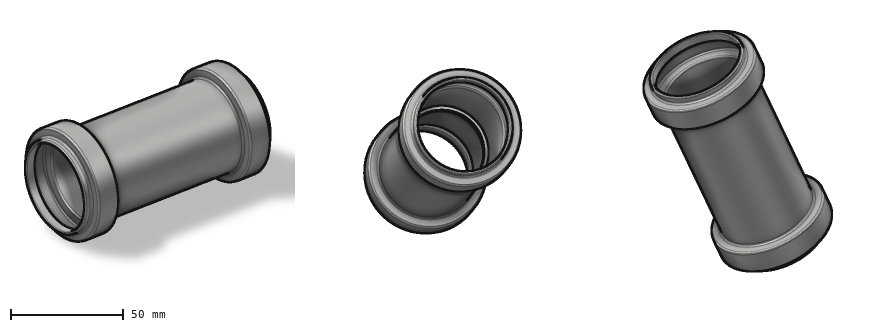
import cadquery as cq

length = 104.0
stop_diameter = 37.0
socket_diameter = 40.8
mouth_diameter = 41.2
tube_diameter = 44.0
lip_diameter = 44.4
groove_diameter = 50.3
collar_diameter = 53.5
wall = (collar_diameter - groove_diameter) / 2
stop_width = 2 * wall

outer_face_at_lip = 3.4
outer_face_at_rim = 3.8
inner_face_at_tube = 15.5
inner_face_at_rim = 15.1

rim_round = 0.9
root_round = 1.0
lip_round = 0.6
mouth_round = 0.4
groove_root_round = 0.8
groove_edge_round = 0.9

outer_corners = [
    (lip_diameter / 2, 0, lip_round),
    (lip_diameter / 2, outer_face_at_lip, root_round),
    (collar_diameter / 2, outer_face_at_rim, rim_round),
    (collar_diameter / 2, inner_face_at_rim, rim_round),
    (tube_diameter / 2, inner_face_at_tube, root_round),
]
inner_corners = [
    (mouth_diameter / 2, 0, mouth_round),
    (mouth_diameter / 2, outer_face_at_lip + wall, groove_edge_round),
    (groove_diameter / 2, outer_face_at_rim + wall, groove_root_round),
    (groove_diameter / 2, inner_face_at_rim - wall, groove_root_round),
    (socket_diameter / 2, inner_face_at_tube - wall, groove_edge_round),
    (socket_diameter / 2, (length - stop_width) / 2, 0),
    (stop_diameter / 2, (length - stop_width) / 2, 0),
]


def both_ends(corners):
    """Profile points from the -Y end to the +Y end."""
    near_end = [(radius, distance - length / 2) for radius, distance, _ in corners]
    far_end = [(radius, -y) for radius, y in reversed(near_end)]
    return near_end + far_end


def ring_edges(body, radius, distance):
    """The two circular edges of one radius, at a distance from each end."""
    tolerance = 0.01
    height = length / 2 - distance

    def matches(edge):
        return (
            edge.geomType() == "CIRCLE"
            and abs(edge.radius() - radius) < tolerance
            and abs(abs(edge.Center().y) - height) < tolerance
        )

    return body.newObject([edge for edge in body.edges().vals() if matches(edge)])


def make_coupling():
    """Revolve the wall profile about Y and round its corners."""
    outline = both_ends(outer_corners) + both_ends(inner_corners)[::-1]
    body = cq.Workplane("XY").polyline(outline).close().revolve(360, (0, 0), (0, 1))
    for radius, distance, rounding in outer_corners + inner_corners:
        if rounding > 0:
            body = ring_edges(body, radius, distance).fillet(rounding)
    return body


result = make_coupling()